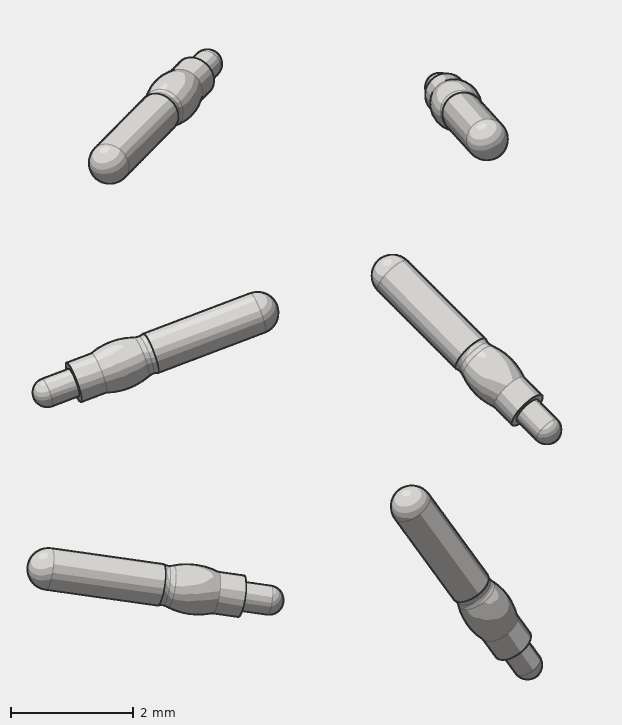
import cadquery as cq
import math

length = 4.32
barrel_radius = 0.345
bulge_radius = 0.41
plunger_radius = 0.24
neck_radius = 0.33

barrel_end = 2.24
neck_station = 2.325
bulge_start = 2.415
bulge_end = 3.165
collar_end = 3.607

bulge_peak = (bulge_start + bulge_end) / 2

barrel_dome = barrel_radius * math.sqrt(0.5)
plunger_dome = plunger_radius * math.sqrt(0.5)
plunger_dome_start = length - plunger_radius

groove_depth = barrel_radius - neck_radius


def groove_arc_radius(arc_length):
    """Radius of an arc that is level at the neck and rises to the barrel radius over arc_length."""
    return (arc_length**2 + groove_depth**2) / (2 * groove_depth)


profile = (
    cq.Workplane("XY")
    .moveTo(0, 0)
    .threePointArc((barrel_dome, barrel_radius - barrel_dome), (barrel_radius, barrel_radius))
    .lineTo(barrel_radius, barrel_end)
    .radiusArc((neck_radius, neck_station), groove_arc_radius(neck_station - barrel_end))
    .radiusArc((barrel_radius, bulge_start), groove_arc_radius(bulge_start - neck_station))
    .threePointArc((bulge_radius, bulge_peak), (barrel_radius, bulge_end))
    .lineTo(barrel_radius, collar_end)
    .lineTo(plunger_radius, collar_end)
    .lineTo(plunger_radius, plunger_dome_start)
    .threePointArc((plunger_dome, plunger_dome_start + plunger_dome), (0, length))
    .close()
)

result = profile.revolve(360, (0, 0, 0), (0, 1, 0)).translate((0, -length / 2, 0))